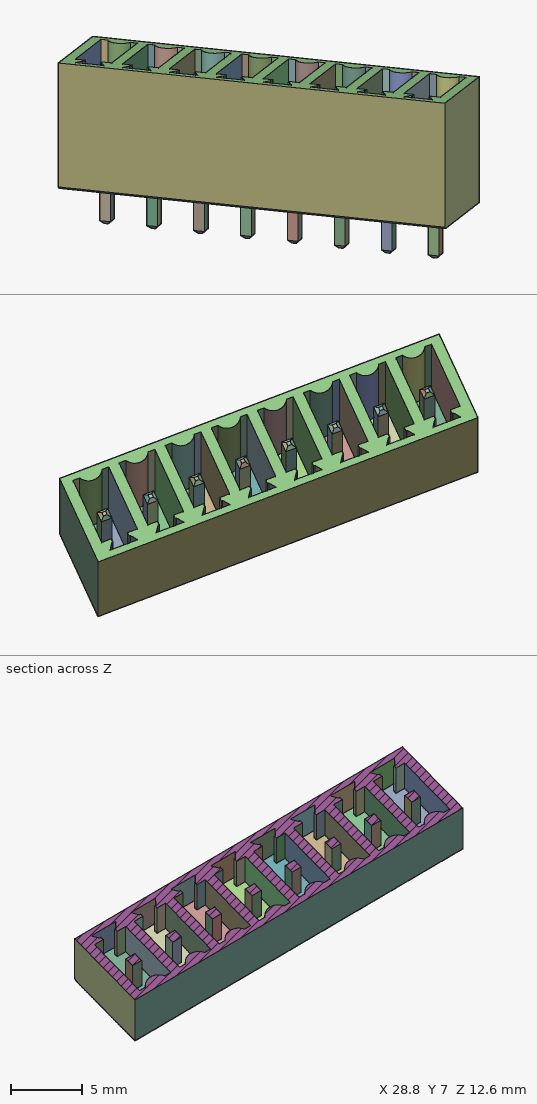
import cadquery as cq

length = 28.8
width = 7.0
total_height = 12.6
pin_tail = 3.4
housing_height = total_height - pin_tail
front_edge_chamfer = 0.15

contact_count = 8
end_margin = 2.15
pitch = (length - 2 * end_margin) / (contact_count - 1)
contact_xs = [end_margin - length / 2 + i * pitch for i in range(contact_count)]

pin_size = 0.8
pin_y = 0.52
pin_point = 0.25
pin_top_gap = 1.73

outer_wall = 0.52
floor_thickness = 1.73
pocket_width = 2.7
pocket_back_y = width / 2 - outer_wall
front_wall = 1.3
pocket_front_y = front_wall - width / 2

rib_width = 1.7
rib_depth = 0.52

neck_width = 1.2
neck_length = 0.3
dovetail_top_width = 1.4
dovetail_bottom_width = 2.1
dovetail_bottom_y = outer_wall - width / 2


def make_housing():
    block = cq.Workplane("XY").box(length, width, housing_height, centered=(True, True, False))
    return block.edges("<Y and <Z").chamfer(front_edge_chamfer)


def make_pocket(x):
    """Pocket volume: a slot with a rib bulging into its back and a dovetail opening in its front."""
    half_pocket = pocket_width / 2
    half_rib = rib_width / 2
    half_neck = neck_width / 2
    half_top = dovetail_top_width / 2
    half_bottom = dovetail_bottom_width / 2
    neck_end_y = pocket_front_y - neck_length
    return (
        cq.Workplane("XY", origin=(x, 0, floor_thickness))
        .moveTo(-half_pocket, pocket_back_y)
        .lineTo(-half_rib, pocket_back_y)
        .threePointArc((0, pocket_back_y - rib_depth), (half_rib, pocket_back_y))
        .lineTo(half_pocket, pocket_back_y)
        .lineTo(half_pocket, pocket_front_y)
        .lineTo(half_neck, pocket_front_y)
        .lineTo(half_neck, neck_end_y)
        .lineTo(half_top, neck_end_y)
        .lineTo(half_bottom, dovetail_bottom_y)
        .lineTo(-half_bottom, dovetail_bottom_y)
        .lineTo(-half_top, neck_end_y)
        .lineTo(-half_neck, neck_end_y)
        .lineTo(-half_neck, pocket_front_y)
        .lineTo(-half_pocket, pocket_front_y)
        .close()
        .extrude(housing_height - floor_thickness)
    )


def make_pin(x):
    pin_length = total_height - pin_top_gap
    wire = cq.Workplane("XY", origin=(x, pin_y, -pin_tail)).box(
        pin_size, pin_size, pin_length, centered=(True, True, False)
    )
    return wire.faces("<Z or >Z").chamfer(pin_point)


result = make_housing()
for contact_x in contact_xs:
    result = result.cut(make_pocket(contact_x)).union(make_pin(contact_x))